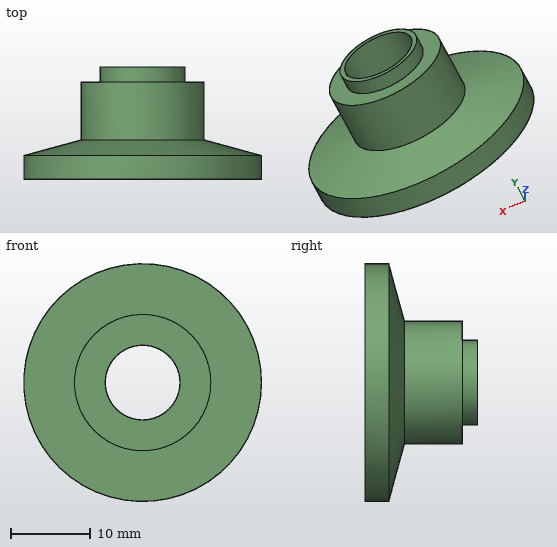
import cadquery as cq

flange_diameter = 30
hub_diameter = 15.5
spigot_diameter = 10.7
recess_diameter = 17.2
bore_diameter = 9.4

total_length = 14.2
flange_thickness = 3
cone_length = 1.98
spigot_length = 1.92
recess_depth = 2.5


def cylinder(diameter, start, end):
    """Solid cylinder along Y, from start to end."""
    length = end - start
    return cq.Workplane("XZ", origin=(0, start, 0)).circle(diameter / 2).extrude(-length)


def cone(start_diameter, end_diameter, start, end):
    """Solid truncated cone along Y, from start to end."""
    profile = [
        (0, start),
        (start_diameter / 2, start),
        (end_diameter / 2, end),
        (0, end),
    ]
    return cq.Workplane("XY").polyline(profile).close().revolve(360, (0, 0), (0, 1))


cone_end = flange_thickness + cone_length
hub_end = total_length - spigot_length

flange = cylinder(flange_diameter, 0, flange_thickness)
taper = cone(flange_diameter, hub_diameter, flange_thickness, cone_end)
hub = cylinder(hub_diameter, cone_end, hub_end)
spigot = cylinder(spigot_diameter, hub_end, total_length)
body = flange.union(taper).union(hub).union(spigot)

recess = cylinder(recess_diameter, 0, recess_depth)
bore = cylinder(bore_diameter, 0, total_length)

result = body.cut(recess).cut(bore)